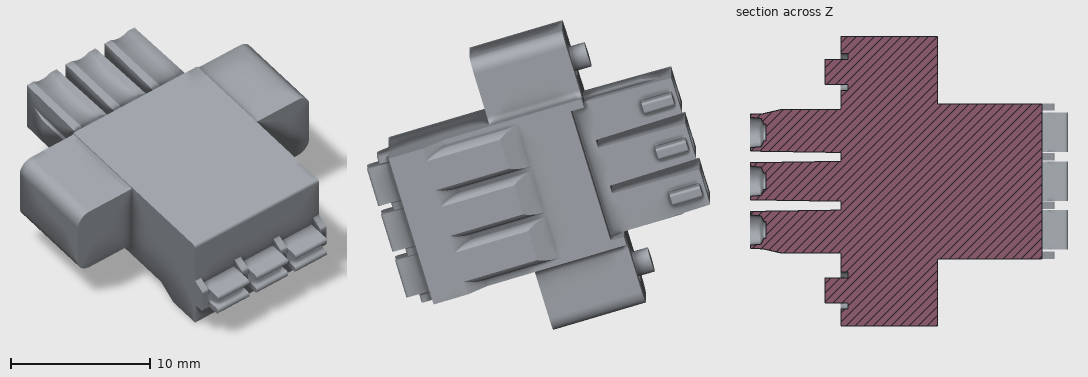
import cadquery as cq
import math


overall_length = 22.8
overall_width = 20.8
overall_height = 7.75
pole_count = 3
pole_pitch = 3.5
bore_axis_z = 4.75

plug_length = 6.5
housing_end_x = 20.96
housing_width = 11.16
housing_front_base_z = 0.92
top_edge_radius = 0.22
slope_run = 1.48
slope_start_x = 16.9

notch_width = 9.9
notch_depth = 1.0
rail_start_x = 11.42
rail_radius = 1.62
rail_axis_z = 1.18

flange_length = 6.93
flange_base_z = 1.95
flange_top_z = 7.58
flange_corner_radius = 1.03
flange_root_radius = 0.5
flange_top_root_radius = overall_height - flange_top_z

screw_offset_y = 7.85
screw_radius = 0.91
screw_hole_radius = 1.32
screw_hole_depth = 0.5
screw_tip_x = 5.33

plug_tip_width = 2.7
plug_root_width = 2.9
plug_base_z = 2.78
plug_top_z = 6.97
groove_width = 1.55
groove_depth = 0.24

bore_mouth_radius = 1.07
bore_neck_radius = 1.0
bore_straight_depth = 0.75
bore_cone_depth = 0.2
contact_radius = 0.59
contact_depth = 1.1

key_start_x = 0.27
key_length = 2.23
key_width = 0.84
key_base_z = 1.46
key_edge_radius = 0.2
key_root_radius = 0.12

rib_start_x = 0.9
rib_ramp_end_x = 2.22
rib_height = 1.46
rib_base_z = 3.95
rib_outer_y = 5.17

tab_end_x = 21.85
tab_width = 0.53
tab_base_z = 1.8
tab_shoulder_z = 3.72
tab_top_z = 4.23
tab_edge_radius = 0.2

blade_width = 2.83
blade_tip_radius = 0.22
blade_thickness = 0.57
blade_tip_thickness = 0.48
upper_blade_top_z = 3.62
lower_blade_top_z = 2.37

pole_positions = [(i - (pole_count - 1) / 2) * pole_pitch for i in range(pole_count)]


def block(x0, x1, y0, y1, z0, z1):
    """Box between opposite corners."""
    return cq.Workplane("XY").box(x1 - x0, y1 - y0, z1 - z0, centered=False).translate((x0, y0, z0))


def rod(radius, x0, x1, y, z):
    """Cylinder along X."""
    return cq.Workplane("YZ", origin=(x0, y, z)).circle(radius).extrude(x1 - x0)


def plate(points, y_center, width):
    """XZ outline extruded along Y, centred on y_center."""
    sketch = cq.Workplane("XZ", origin=(0, y_center, 0)).polyline(points).close()
    return sketch.extrude(width / 2, both=True)


def make_flanges():
    """Full-width front block, as wide as both flanges together."""
    flange_end = plug_length + flange_length
    half_width = overall_width / 2
    bar = block(plug_length, flange_end, -half_width, half_width, flange_base_z, flange_top_z)
    return bar.edges("|X").fillet(flange_corner_radius)


def concave_corner(radius, side, z, up):
    """Fillet strip in the corner between a housing side and a flange face."""
    half_width = housing_width / 2
    y_wall = side * half_width
    y_end = side * (half_width + radius)
    z_end = z + up * radius
    arc_offset = radius * (1 - math.sqrt(0.5))
    strip = (
        cq.Workplane("YZ", origin=(plug_length, 0, 0))
        .moveTo(y_wall, z)
        .lineTo(y_end, z)
        .threePointArc((y_wall + side * arc_offset, z + up * arc_offset), (y_wall, z_end))
        .close()
    )
    return strip.extrude(flange_length)


def make_housing():
    outline = [
        (plug_length, housing_front_base_z),
        (slope_start_x, housing_front_base_z),
        (slope_start_x + slope_run, 0),
        (housing_end_x, 0),
        (housing_end_x, overall_height),
        (plug_length, overall_height),
    ]
    body = plate(outline, 0, housing_width)
    body = body.edges(">X and >Z").fillet(top_edge_radius)
    body = body.union(make_flanges())
    for side in (-1, 1):
        body = body.union(concave_corner(flange_root_radius, side, flange_base_z, -1))
        body = body.union(concave_corner(flange_top_root_radius, side, flange_top_z, 1))
    notch = block(
        plug_length,
        plug_length + notch_depth,
        -notch_width / 2,
        notch_width / 2,
        housing_front_base_z,
        plug_base_z,
    )
    return body.cut(notch)


def make_rail(y):
    """Round rail below the housing, cut flat at Z = 0 and sloped at both ends."""
    outline = [
        (rail_start_x, housing_front_base_z),
        (rail_start_x + slope_run, 0),
        (slope_start_x + slope_run, 0),
        (slope_start_x + slope_run, rail_axis_z),
        (rail_start_x, rail_axis_z),
    ]
    envelope = plate(outline, y, 2 * rail_radius)
    return rod(rail_radius, rail_start_x, slope_start_x + slope_run, y, rail_axis_z).intersect(envelope)


def make_key(y):
    """Coding key with a rounded bottom and a filleted root."""
    half = key_width / 2
    key_end_x = key_start_x + key_length
    key = block(key_start_x, key_end_x, y - half, y + half, key_base_z, plug_base_z)
    key = key.edges("|X and <Z").fillet(key_edge_radius)
    root = block(
        key_start_x,
        key_end_x,
        y - half - key_root_radius,
        y + half + key_root_radius,
        plug_base_z - key_root_radius,
        plug_base_z,
    )
    for side in (-1, 1):
        relief_y = y + side * (half + key_root_radius)
        root = root.cut(rod(key_root_radius, key_start_x, key_end_x, relief_y, plug_base_z - key_root_radius))
    return key.union(root)


def make_bore(y):
    """Stepped contact bore: slightly tapered mouth, cone and contact hole."""
    cone_end = bore_straight_depth + bore_cone_depth
    profile = [
        (0, 0),
        (0, bore_mouth_radius),
        (bore_straight_depth, bore_neck_radius),
        (cone_end, contact_radius),
        (contact_depth, contact_radius),
        (contact_depth, 0),
    ]
    section = cq.Workplane("XY").polyline(profile).close()
    return section.revolve(360, (0, 0), (1, 0)).translate((0, y, bore_axis_z))


def make_plug(y):
    """Plug widening towards the housing, with a top groove, key and bore."""
    tip_half = plug_tip_width / 2
    root_half = plug_root_width / 2
    plan = [
        (0, y - tip_half),
        (plug_length, y - root_half),
        (plug_length, y + root_half),
        (0, y + tip_half),
    ]
    plug = cq.Workplane("XY", origin=(0, 0, plug_base_z)).polyline(plan).close()
    plug = plug.extrude(plug_top_z - plug_base_z)
    groove_radius = ((groove_width / 2) ** 2 + groove_depth**2) / (2 * groove_depth)
    groove_axis_z = plug_top_z - groove_depth + groove_radius
    plug = plug.cut(rod(groove_radius, 0, plug_length, y, groove_axis_z))
    return plug.union(make_key(y)).cut(make_bore(y))


def make_rib(side):
    """Guide rib with a lead-in ramp on the outer face of an end plug."""
    outer_pole_y = pole_positions[-1]
    flare_per_side = (plug_root_width - plug_tip_width) / 2
    ramp_start_y = outer_pole_y + plug_tip_width / 2 + flare_per_side * rib_start_x / plug_length
    plan = [
        (rib_start_x, side * ramp_start_y),
        (rib_ramp_end_x, side * rib_outer_y),
        (plug_length, side * rib_outer_y),
        (plug_length, side * ramp_start_y),
    ]
    return cq.Workplane("XY", origin=(0, 0, rib_base_z)).polyline(plan).close().extrude(rib_height)


def make_tab(y):
    """Rear tab with a sloped top."""
    outline = [
        (housing_end_x, tab_base_z),
        (tab_end_x, tab_base_z),
        (tab_end_x, tab_shoulder_z),
        (housing_end_x, tab_top_z),
    ]
    return plate(outline, y, tab_width).edges(">X and |Y").fillet(tab_edge_radius)


def make_blade(y, top_z):
    """Flat rear blade with a rounded tip, thinning slightly from below."""
    outline = [
        (housing_end_x, top_z - blade_thickness),
        (overall_length, top_z - blade_tip_thickness),
        (overall_length, top_z),
        (housing_end_x, top_z),
    ]
    return plate(outline, y, blade_width).edges(">X and |Y").fillet(blade_tip_radius)


def fit_screw(body, y):
    """Screw standing in a blind flange hole."""
    hole_end_x = plug_length + screw_hole_depth
    body = body.cut(rod(screw_hole_radius, plug_length, hole_end_x, y, bore_axis_z))
    return body.union(rod(screw_radius, screw_tip_x, hole_end_x, y, bore_axis_z))


result = make_housing()
for pole_y in pole_positions:
    result = result.union(make_rail(pole_y)).union(make_plug(pole_y))
    for blade_top_z in (upper_blade_top_z, lower_blade_top_z):
        result = result.union(make_blade(pole_y, blade_top_z))

outer_tab_y = (housing_width - tab_width) / 2
inner_tab_y = pole_pitch / 2
for side in (-1, 1):
    result = fit_screw(result, side * screw_offset_y)
    result = result.union(make_rib(side))
    for tab_y in (inner_tab_y, outer_tab_y):
        result = result.union(make_tab(side * tab_y))